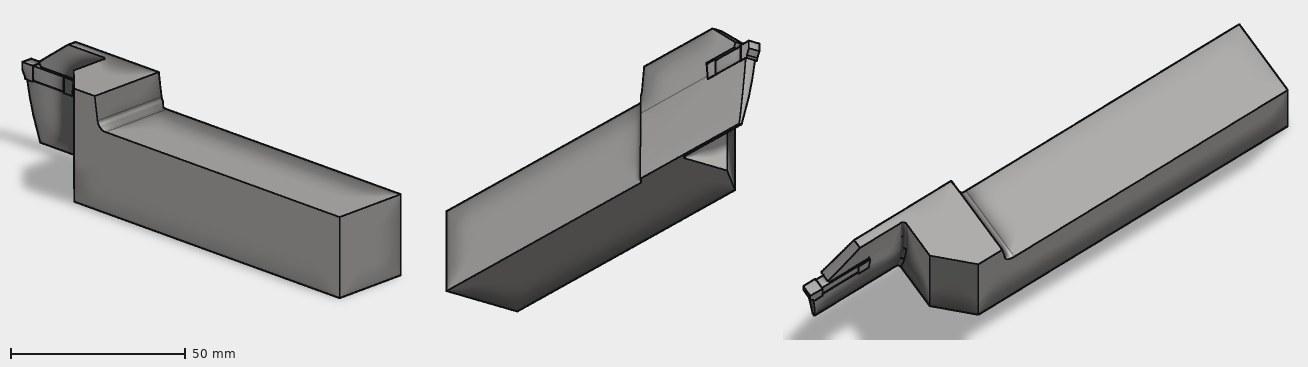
import cadquery as cq
import math

length = 150.0
shank_width = 25.0
shank_height = 25.0
total_width = 26.8
head_height = 35.0
head_front_x = 33.0
head_bevel_x = 43.0
head_bevel = head_bevel_x - head_front_x
head_back_x = 52.4
back_bevel_end_x = 54.3
step_top_x = 51.3
step_foot_x = 52.8
step_fillet = 3.2

blade_toe_x = 3.8
blade_top_y = 22.8
blade_front_radius = 105.0
blade_crest_z = 25.5
blade_back_y = 26.2
back_curve_z = 21.0
root_fillet = 1.0

jaw_nose_x = 6.3
jaw_nose_z = 26.5
jaw_lip_x = 7.2
jaw_top_x = 17.7

insert_top_z = 24.9
insert_bottom_z = 20.0
insert_front_y = 22.4
insert_width = 3.8
edge_land_z = 22.5
heel_x = 1.0
heel_z = 20.7
insert_toe_x = 1.2
tail_top_x = 20.7
tail_bottom_x = 20.1
waist_start_x = 4.2
waist_end_x = 16.6
waist_relief = 0.3
waist_top_relief = 0.2
jaw_clearance = 0.3
slot_top_z = insert_top_z + jaw_clearance
blade_front_x = 1.4

margin = 1.5


def holder_plan():
    """Holder outline seen from above, over the full head height."""
    return (
        cq.Workplane("XY")
        .moveTo(0, total_width)
        .lineTo(head_back_x, total_width)
        .lineTo(back_bevel_end_x, shank_width)
        .lineTo(length, shank_width)
        .lineTo(length, 0)
        .lineTo(head_bevel_x, 0)
        .lineTo(head_front_x, head_bevel)
        .lineTo(head_front_x, insert_front_y)
        .lineTo(0, insert_front_y)
        .close()
        .extrude(head_height)
    )


def holder_side():
    """Holder outline in XZ, with the open slot for the insert."""
    side = (
        cq.Workplane("XZ")
        .moveTo(blade_toe_x, 0)
        .lineTo(length, 0)
        .lineTo(length, shank_height)
        .lineTo(step_foot_x, shank_height)
        .lineTo(step_top_x, head_height)
        .lineTo(jaw_top_x, head_height)
        .lineTo(jaw_nose_x, jaw_nose_z)
        .lineTo(jaw_lip_x, slot_top_z)
        .lineTo(tail_top_x, slot_top_z)
        .lineTo(tail_top_x, insert_top_z)
        .lineTo(tail_bottom_x, insert_bottom_z)
        .lineTo(blade_front_x, insert_bottom_z)
        .close()
        .extrude(-total_width)
    )
    step_foot = cq.selectors.NearestToPointSelector((step_foot_x, total_width / 2, shank_height))
    return side.edges(step_foot).fillet(step_fillet)


def blade_front_cutter():
    """Material in front of the convex, cylindrical front face of the blade."""
    def face_y(z):
        drop = z - blade_crest_z
        return blade_top_y + blade_front_radius - math.sqrt(blade_front_radius**2 - drop**2)

    return (
        cq.Workplane("YZ")
        .moveTo(0, 0)
        .lineTo(face_y(0), 0)
        .threePointArc((blade_top_y, blade_crest_z), (face_y(head_height), head_height))
        .lineTo(0, head_height)
        .close()
        .extrude(head_front_x)
    )


def blade_back_cutter():
    """Material behind the head: flat above, a tangent flare to full width below."""
    return (
        cq.Workplane("YZ")
        .moveTo(blade_back_y, head_height)
        .lineTo(blade_back_y, back_curve_z)
        .tangentArcPoint((total_width, 0), relative=False)
        .lineTo(total_width + margin, 0)
        .lineTo(total_width + margin, head_height)
        .close()
        .extrude(back_bevel_end_x)
    )


def make_holder():
    body = holder_plan().intersect(holder_side())
    body = body.cut(blade_front_cutter()).cut(blade_back_cutter())
    root = cq.selectors.NearestToPointSelector((head_front_x, blade_top_y, head_height / 2))
    return body.edges(root).fillet(root_fillet)


def make_insert():
    """Double-ended grooving insert with a waist relieved on all four faces."""
    blank = (
        cq.Workplane("XZ", origin=(0, insert_front_y, 0))
        .moveTo(0, insert_top_z)
        .lineTo(tail_top_x, insert_top_z)
        .lineTo(tail_bottom_x, insert_bottom_z)
        .lineTo(insert_toe_x, insert_bottom_z)
        .lineTo(heel_x, heel_z)
        .lineTo(0, edge_land_z)
        .close()
        .extrude(-insert_width)
    )
    waist_length = waist_end_x - waist_start_x
    insert_height = insert_top_z - insert_bottom_z
    core_width = insert_width - 2 * waist_relief
    core_height = insert_height - waist_relief - waist_top_relief
    slab = cq.Workplane("XY").box(waist_length, insert_width, insert_height, centered=False)
    core = (
        cq.Workplane("XY")
        .box(waist_length, core_width, core_height, centered=False)
        .translate((0, waist_relief, waist_relief))
    )
    relief = slab.cut(core).translate((waist_start_x, insert_front_y, insert_bottom_z))
    return blank.cut(relief)


holder = make_holder()
insert = make_insert()

result = cq.Compound.makeCompound([holder.val(), insert.val()])